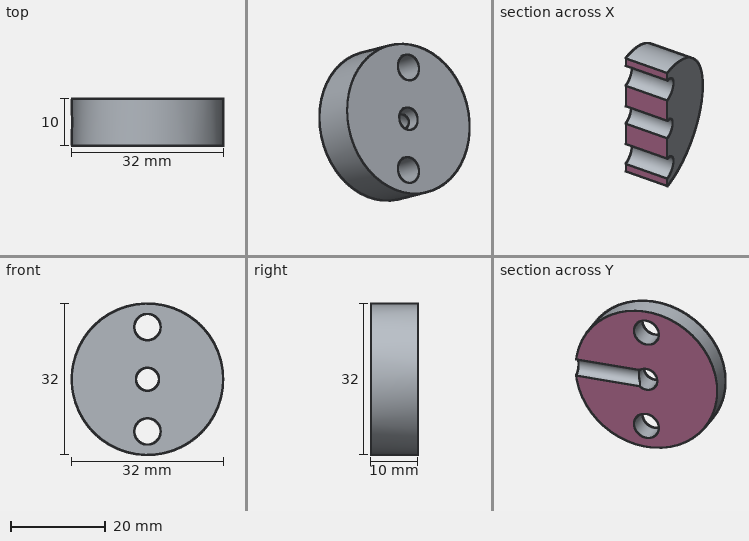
import cadquery as cq

disc_diameter = 32.0
disc_thickness = 10.0
bore_diameter = 4.8
bolt_hole_diameter = 5.5
bolt_hole_offset = 11.0
side_hole_diameter = 3.7

disc_radius = disc_diameter / 2


def cross_hole(diameter, height):
    """Cylinder along Y through the full disc thickness, on the Z axis at the given height."""
    return (
        cq.Workplane("XZ")
        .center(0, height)
        .circle(diameter / 2)
        .extrude(disc_thickness, both=True)
    )


disc = cq.Workplane("XZ").circle(disc_radius).extrude(disc_thickness / 2, both=True)

result = disc.cut(cross_hole(bore_diameter, 0))
for height in (-bolt_hole_offset, bolt_hole_offset):
    result = result.cut(cross_hole(bolt_hole_diameter, height))

side_hole = (
    cq.Workplane("YZ")
    .workplane(offset=-disc_radius)
    .circle(side_hole_diameter / 2)
    .extrude(disc_radius)
)
result = result.cut(side_hole)